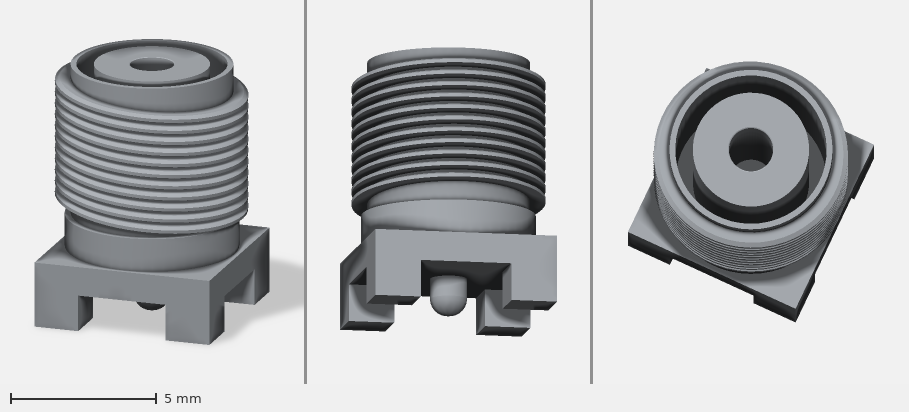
import cadquery as cq

base_side = 6.36
base_bottom = 1.28
base_top = 2.31
leg_side = 1.59

collar_diameter = 6.0
collar_top = 3.48
barrel_diameter = 5.6
barrel_top = 8.84

ring_count = 11
ring_tilt = 5.3
ring_diameter = 6.67
ring_thickness = 0.195
ring_chamfer_height = 0.08
ring_chamfer_width = 0.16
top_ring_height = 8.11
lowest_ring_height = 4.11
ring_pitch = (top_ring_height - lowest_ring_height) / (ring_count - 1)

gap_outer_diameter = 5.2
core_diameter = 4.0
gap_depth = barrel_top - collar_top
contact_diameter = 1.52
contact_depth = gap_depth
contact_chamfer_width = 0.035
contact_chamfer_depth = 0.02

pin_diameter = 1.27
pin_rounding = 0.58


def cylinder(diameter, bottom, top):
    return cq.Workplane("XY").workplane(offset=bottom).circle(diameter / 2).extrude(top - bottom)


def corner_legs():
    leg_spacing = base_side - leg_side
    return (
        cq.Workplane("XY")
        .rect(leg_spacing, leg_spacing, forConstruction=True)
        .vertices()
        .rect(leg_side, leg_side)
        .extrude(base_bottom)
    )


def thread_ring(top_height):
    """Disc tilted about the Y axis so that its -X side is the higher one."""
    radius = ring_diameter / 2
    profile = [
        (0, 0),
        (radius - ring_chamfer_width, 0),
        (radius, -ring_chamfer_height),
        (radius, -ring_thickness),
        (0, -ring_thickness),
    ]
    disc = cq.Workplane("XZ").polyline(profile).close().revolve(360, (0, 0), (0, 1))
    return disc.rotate((0, 0, 0), (0, 1, 0), ring_tilt).translate((0, 0, top_height))


def socket_gap():
    floor = barrel_top - gap_depth
    return cylinder(gap_outer_diameter, floor, barrel_top).cut(cylinder(core_diameter, floor, barrel_top))


def contact_hole():
    """Blind hole with a shallow chamfer around its mouth."""
    radius = contact_diameter / 2
    mouth_radius = radius + contact_chamfer_width
    floor = barrel_top - contact_depth
    profile = [
        (0, floor),
        (radius, floor),
        (radius, barrel_top - contact_chamfer_depth),
        (mouth_radius, barrel_top),
        (0, barrel_top),
    ]
    return cq.Workplane("XZ").polyline(profile).close().revolve(360, (0, 0), (0, 1))


def centre_pin():
    return cylinder(pin_diameter, 0, base_bottom).faces("<Z").edges().fillet(pin_rounding)


base = (
    cq.Workplane("XY")
    .workplane(offset=base_bottom)
    .rect(base_side, base_side)
    .extrude(base_top - base_bottom)
)

body = base.union(corner_legs()).union(centre_pin())
body = body.union(cylinder(collar_diameter, base_top, collar_top))
body = body.union(cylinder(barrel_diameter, collar_top, barrel_top))
for ring_index in range(ring_count):
    body = body.union(thread_ring(top_ring_height - ring_index * ring_pitch))

result = body.cut(socket_gap()).cut(contact_hole())